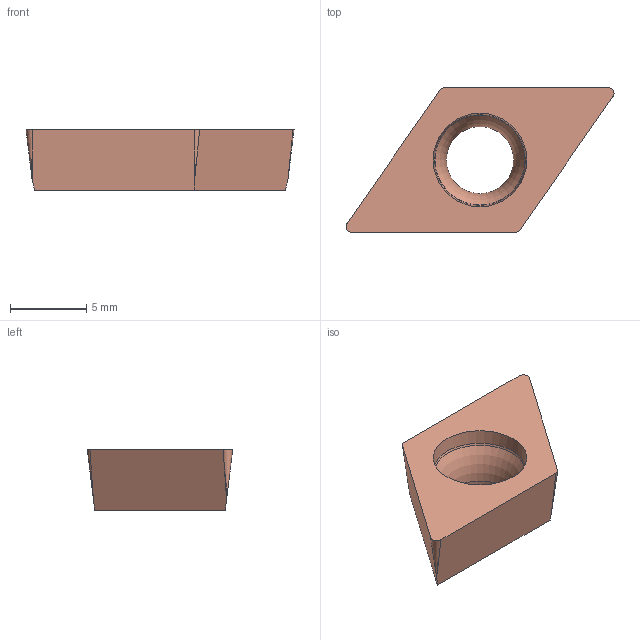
import cadquery as cq
import math


inscribed_diameter = 9.525
thickness = 3.97
point_angle = 55.0
clearance_angle = 7.0
nose_radius = 0.4

hole_diameter = 4.4
recess_diameter = 6.13
recess_floor_diameter = 6.0
recess_depth = 0.95
seat_diameter = 5.9
seat_depth = 1.08
seat_arc_radius = 4.0

point = math.radians(point_angle)
clearance_slope = math.tan(math.radians(clearance_angle))
half_height = inscribed_diameter / 2
nose_cone_height = nose_radius / clearance_slope


def diamond_corners(inset):
    """Corners of the diamond with its sides moved inward by inset, counterclockwise."""
    y = half_height - inset
    half_side = y / math.sin(point)
    lean = y / math.tan(point)
    return [
        (-half_side - lean, -y),
        (half_side - lean, -y),
        (half_side + lean, y),
        (-half_side + lean, y),
    ]


def tapered_diamond():
    """Sharp-cornered body, largest at the top face and narrowing downward."""
    bottom = diamond_corners(thickness * clearance_slope)
    return (
        cq.Workplane("XY")
        .polyline(bottom)
        .close()
        .workplane(offset=thickness)
        .polyline(diamond_corners(0))
        .close()
        .loft(ruled=True)
    )


def foot_on_side(center, start, end):
    """Point of the side from start to end that is nearest to center."""
    side = (end[0] - start[0], end[1] - start[1])
    reach = (center[0] - start[0]) * side[0] + (center[1] - start[1]) * side[1]
    share = reach / (side[0] ** 2 + side[1] ** 2)
    return (start[0] + share * side[0], start[1] + share * side[1])


def nose_waste(index):
    """Material outside the conical nose at corner 0 or 1; the nose runs out to a sharp edge below."""
    corners = diamond_corners(0)
    corner = corners[index]
    center = diamond_corners(nose_radius)[index]
    tangent_before = foot_on_side(center, corners[index - 1], corner)
    tangent_after = foot_on_side(center, corner, corners[index + 1])
    apex_height = thickness - nose_cone_height
    block = (
        cq.Workplane("XY", origin=(0, 0, apex_height))
        .polyline([center, tangent_before, corner, tangent_after])
        .close()
        .extrude(nose_cone_height)
    )
    cone = cq.Solid.makeCone(
        0,
        nose_radius,
        nose_cone_height,
        pnt=cq.Vector(center[0], center[1], apex_height),
        dir=cq.Vector(0, 0, 1),
    )
    return block.cut(cq.Workplane(obj=cone))


def screw_hole():
    """Through hole with a flared seat for the screw head and a slightly tapered recess above it."""
    hole_radius = hole_diameter / 2
    recess_radius = recess_diameter / 2
    seat_radius = seat_diameter / 2
    seat_z = thickness - seat_depth
    arc_angle = math.acos(1 - (seat_radius - hole_radius) / seat_arc_radius)
    arc_end_z = seat_z - seat_arc_radius * math.sin(arc_angle)
    arc_middle = (
        hole_radius + seat_arc_radius * (1 - math.cos(arc_angle / 2)),
        arc_end_z + seat_arc_radius * math.sin(arc_angle / 2),
    )
    return (
        cq.Workplane("XZ")
        .moveTo(0, 0)
        .lineTo(hole_radius, 0)
        .lineTo(hole_radius, arc_end_z)
        .threePointArc(arc_middle, (seat_radius, seat_z))
        .lineTo(recess_floor_diameter / 2, thickness - recess_depth)
        .lineTo(recess_radius, thickness)
        .lineTo(0, thickness)
        .close()
        .revolve(360, (0, 0, 0), (0, 1, 0))
    )


insert = tapered_diamond()
for corner_index in (0, 1):
    waste = nose_waste(corner_index)
    insert = insert.cut(waste)
    insert = insert.cut(waste.rotate((0, 0, 0), (0, 0, 1), 180))

result = insert.cut(screw_hole())